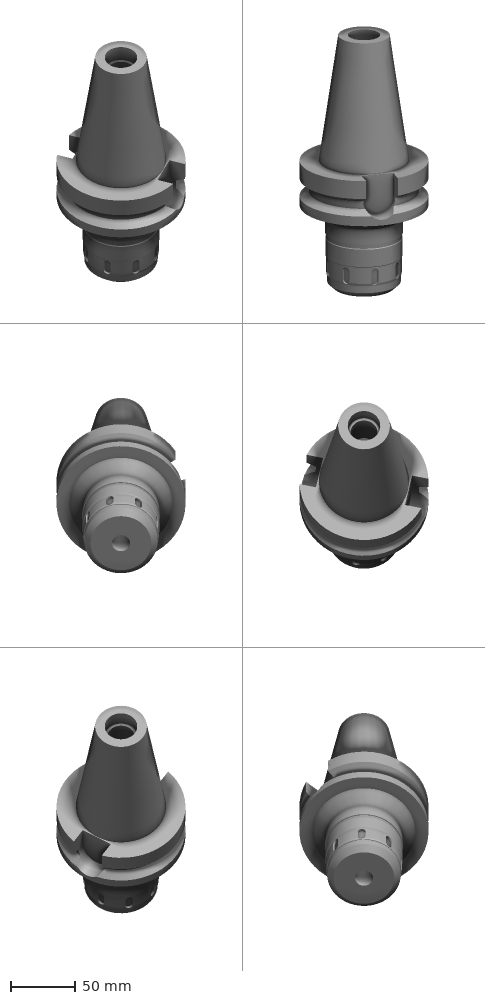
import cadquery as cq

total_height = 206.8

taper_base_z = 105.0
taper_base_radius = 35.0
taper_top_radius = 20.0

flange_radius = 50.0
flange_bottom_z = 67.0
flange_top_z = 104.0
groove_floor_radius = 42.8
groove_bottom_z = 74.9
groove_floor_bottom_z = 78.8
groove_floor_top_z = 85.2
groove_top_z = 89.3

keyway_count = 2
keyway_width = 25.6
keyway_bottom_z = 71.5
keyway_floor_x = 35.4

collar_radius = 30.2
collar_bottom_z = 44.7
collar_top_z = 57.3
shoulder_radius = collar_radius + flange_bottom_z - collar_top_z
neck_radius = 29.5
nut_radius = 30.0
nut_bottom_z = 25.8
nut_top_z = 41.4
nut_chamfer = 0.6

ring_radius = nut_radius - nut_chamfer
ring_bottom_z = 10.5
ring_edge_height = 1.9
ring_edge_radius = 29.0
cap_radius = 28.5
cap_chamfer_height = 4.5
cap_end_radius = 23.5

slot_count = 8
slot_width = 5.8
slot_bottom_z = 11.2
slot_top_z = 24.8
slot_floor_radius = 27.3

through_radius = 7.0
thread_radius = 10.5
thread_depth = 45.5
pilot_radius = 12.6
pilot_depth = 13.0


def holder_body():
    """Solid of revolution: (radius, Z) outline turned about the Z axis."""
    outline = [
        (0, 0),
        (cap_end_radius, 0),
        (cap_radius, cap_chamfer_height),
        (cap_radius, ring_bottom_z),
        (ring_edge_radius, ring_bottom_z),
        (ring_radius, ring_bottom_z + ring_edge_height),
        (ring_radius, nut_bottom_z),
        (nut_radius, nut_bottom_z + nut_chamfer),
        (nut_radius, nut_top_z - nut_chamfer),
        (neck_radius, nut_top_z),
        (neck_radius, collar_bottom_z),
        (collar_radius, collar_bottom_z),
        (collar_radius, collar_top_z),
        (shoulder_radius, flange_bottom_z),
        (flange_radius, flange_bottom_z),
        (flange_radius, groove_bottom_z),
        (groove_floor_radius, groove_floor_bottom_z),
        (groove_floor_radius, groove_floor_top_z),
        (flange_radius, groove_top_z),
        (flange_radius, flange_top_z),
        (taper_base_radius, flange_top_z),
        (taper_base_radius, taper_base_z),
        (taper_top_radius, total_height),
        (0, total_height),
    ]
    return cq.Workplane("XZ").polyline(outline).close().revolve(360, (0, 0), (0, 1))


def bore():
    """Pilot, thread and through diameters, stepping down from the taper end."""
    through = cq.Workplane("XY").circle(through_radius).extrude(total_height)
    top = cq.Workplane("XY").workplane(offset=total_height)
    thread = top.circle(thread_radius).extrude(-thread_depth)
    pilot = top.circle(pilot_radius).extrude(-pilot_depth)
    return through.union(thread).union(pilot)


def keyway():
    """Round-bottomed drive slot on the +X side, open at the flange top."""
    half_width = keyway_width / 2
    arc_center_z = keyway_bottom_z + half_width
    return (
        cq.Workplane("YZ", origin=(keyway_floor_x, 0, 0))
        .moveTo(-half_width, flange_top_z)
        .lineTo(-half_width, arc_center_z)
        .threePointArc((0, keyway_bottom_z), (half_width, arc_center_z))
        .lineTo(half_width, flange_top_z)
        .close()
        .extrude(flange_radius - keyway_floor_x)
    )


def wrench_slot():
    """Flat-floored slot with round ends on the +X side of the ring."""
    slot_mid_z = (slot_bottom_z + slot_top_z) / 2
    return (
        cq.Workplane("YZ", origin=(slot_floor_radius, 0, slot_mid_z))
        .slot2D(slot_top_z - slot_bottom_z, slot_width, 90)
        .extrude(nut_radius - slot_floor_radius)
    )


def cut_around(body, cutter, count):
    """Cut equally spaced copies of the cutter around the Z axis."""
    for index in range(count):
        body = body.cut(cutter.rotate((0, 0, 0), (0, 0, 1), index * 360 / count))
    return body


result = holder_body().cut(bore())
result = cut_around(result, keyway(), keyway_count)
result = cut_around(result, wrench_slot(), slot_count)